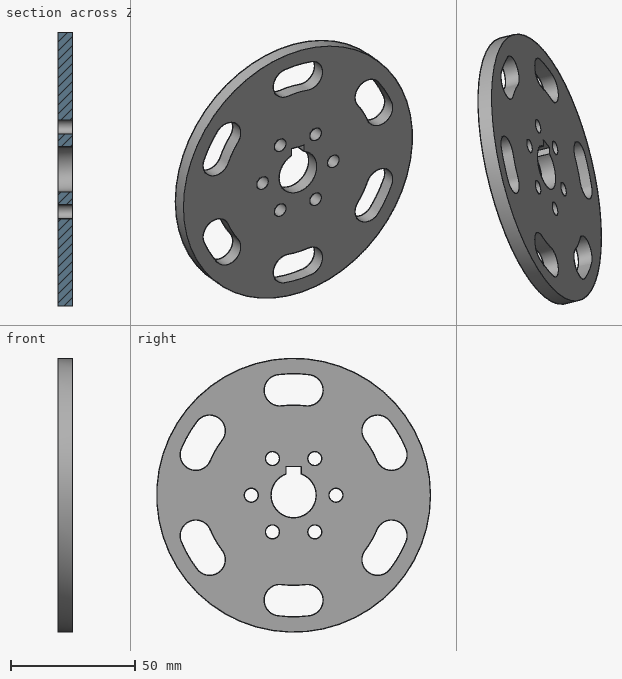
import cadquery as cq
import math

disc_diameter = 110.0
thickness = 6.0

bore_diameter = 18.0
keyway_width = 6.0
keyway_top = 11.5

bolt_count = 6
bolt_hole_diameter = 5.5
bolt_circle_diameter = 34.0

slot_count = 6
first_slot_angle = 90.0
slot_radius = 42.5
slot_width = 12.5
slot_half_angle = 7.5


def polar_point(radius, angle):
    """Point in the YZ plane at an angle in degrees from +Y."""
    return (radius * math.cos(math.radians(angle)), radius * math.sin(math.radians(angle)))


def face_plane():
    """Workplane on the -X face, from which every extrusion runs through the thickness."""
    return cq.Workplane("YZ", origin=(-thickness / 2, 0, 0))


def make_disc():
    return face_plane().circle(disc_diameter / 2).extrude(thickness)


def make_bore():
    bore = face_plane().circle(bore_diameter / 2).extrude(thickness)
    keyway = (
        face_plane()
        .center(0, keyway_top / 2)
        .rect(keyway_width, keyway_top)
        .extrude(thickness)
    )
    return bore.union(keyway)


def make_bolt_holes():
    return (
        face_plane()
        .polarArray(bolt_circle_diameter / 2, 0, 360, bolt_count)
        .circle(bolt_hole_diameter / 2)
        .extrude(thickness)
    )


def make_slot(middle_angle):
    """Slot concentric with the disc, with a half-round at each end."""
    inner_radius = slot_radius - slot_width / 2
    outer_radius = slot_radius + slot_width / 2
    start_angle = middle_angle - slot_half_angle
    end_angle = middle_angle + slot_half_angle
    tip_radius = math.hypot(slot_radius, slot_width / 2)
    tip_angle = math.degrees(math.atan2(slot_width / 2, slot_radius))
    outer_start = polar_point(outer_radius, start_angle)
    outer_middle = polar_point(outer_radius, middle_angle)
    outer_end = polar_point(outer_radius, end_angle)
    inner_start = polar_point(inner_radius, start_angle)
    inner_middle = polar_point(inner_radius, middle_angle)
    inner_end = polar_point(inner_radius, end_angle)
    return (
        face_plane()
        .moveTo(*outer_start)
        .threePointArc(outer_middle, outer_end)
        .threePointArc(polar_point(tip_radius, end_angle + tip_angle), inner_end)
        .threePointArc(inner_middle, inner_start)
        .threePointArc(polar_point(tip_radius, start_angle - tip_angle), outer_start)
        .close()
        .extrude(thickness)
    )


result = make_disc().cut(make_bore()).cut(make_bolt_holes())
for slot_index in range(slot_count):
    result = result.cut(make_slot(first_slot_angle + slot_index * 360 / slot_count))